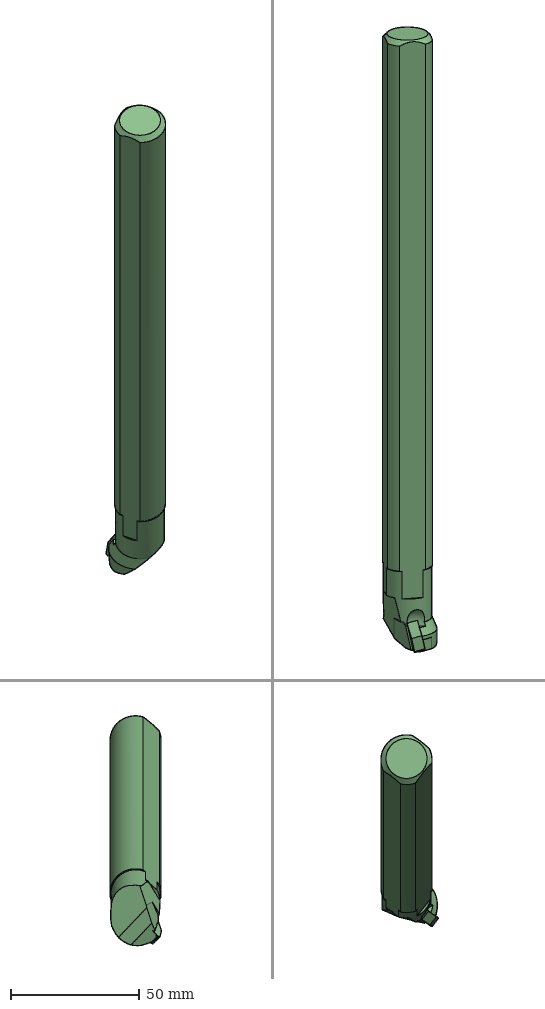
import cadquery as cq

length = 251.2
shank_radius = 10.0
neck_radius = 9.5
neck_top = 32.7
flat_bottom = 21.4
side_flat_offset = 9.0
front_flat_offset = 8.5
end_chamfer = 2.0

flare_top = 11.0
flare_bottom = 6.5
head_radius = 11.3
head_shift = -1.0
nose_slope_top = (9.5, 13.0)
nose_slope_bottom = (-1.3, 2.3)
nose_relief_end = (-6.5, 0.3)

flute_angle = 17.0
flute_tilt = 9.0
flute_depth_offset = 5.0

pocket_top = 11.8
pocket_wall_start = (-9.5, 0.8)
pocket_wall_end = (1.5, 5.8)
scoop_radius = 6.3
scoop_centre = (-13.8, -2.0, 12.3)
scoop_bottom = 9.5

heel_flat_angle = 209.5
heel_flat_width = 4.3
heel_flat_top = 5.0

insert_thickness = 4.3
insert_lean = 12.0
insert_outline = [
    (-12.8, 0.8), (-11.8, 0.0), (-6.5, 1.3), (-3.5, 4.5), (-5.0, 8.0), (-9.5, 11.8), (-12.5, 6.3),
]

margin = 50.2


def extrude_across(points, front_y, back_y):
    """Prism of an XZ outline between two Y positions."""
    plate = cq.Workplane("XZ", origin=(0, back_y, 0)).polyline(points).close()
    return plate.extrude(back_y - front_y)


def lean(body):
    """Tip a body about X to the lean of the insert."""
    return body.rotate((0, 0, 0), (1, 0, 0), -insert_lean)


def make_insert():
    return lean(extrude_across(insert_outline, -insert_thickness, 0))


def make_round_bar():
    shank = (
        cq.Workplane("XY", origin=(0, 0, neck_top)).circle(shank_radius)
        .extrude(length - neck_top).faces(">Z").chamfer(end_chamfer)
    )
    neck = cq.Workplane("XY", origin=(0, 0, flare_top)).circle(neck_radius).extrude(neck_top - flare_top)
    flare = (
        cq.Workplane("XY", origin=(head_shift, 0, flare_bottom)).circle(head_radius)
        .workplane(offset=flare_top - flare_bottom).center(-head_shift, 0).circle(neck_radius)
        .loft(ruled=True)
    )
    head = cq.Workplane("XY").center(head_shift, 0).circle(head_radius).extrude(flare_bottom)
    return shank.union(neck).union(flare).union(head)


def cut_flats(bar):
    flat_height = length - flat_bottom
    block = cq.Workplane("XY", origin=(0, 0, flat_bottom)).box(
        margin, margin, flat_height, centered=(False, True, False))
    for angle, offset in [(90, side_flat_offset), (-90, side_flat_offset), (180, front_flat_offset)]:
        bar = bar.cut(block.translate((offset, 0, 0)).rotate((0, 0, 0), (0, 0, 1), angle))
    return bar


def cut_nose(bar):
    below = [
        (margin, -margin), (margin, nose_slope_top[1]), nose_slope_top, nose_slope_bottom,
        nose_relief_end, (-margin, nose_relief_end[1]), (-margin, -margin),
    ]
    return bar.cut(extrude_across(below, -margin, margin))


def cut_flute(bar):
    block = cq.Workplane("XY").box(2 * margin, margin, 2 * margin, centered=(True, False, True))
    block = block.rotate((0, 0, 0), (1, 0, 0), -flute_tilt).translate((0, flute_depth_offset, 0))
    block = block.rotate((0, 0, 0), (0, 0, 1), flute_angle)
    below_flats = cq.Workplane("XY").box(
        2 * margin, 2 * margin, flat_bottom, centered=(True, True, False))
    return bar.cut(block.intersect(below_flats))


def cut_insert_pocket(bar, insert):
    plan = [
        (-margin, 0), (pocket_wall_start[0], 0), pocket_wall_start, pocket_wall_end,
        (pocket_wall_end[0], margin), (-margin, margin),
    ]
    chip_space = lean(
        cq.Workplane("XY", origin=(0, 0, -margin)).polyline(plan).close().extrude(2 * margin))
    below_top = cq.Workplane("XY", origin=(0, 0, pocket_top - margin)).box(
        4 * margin, 4 * margin, margin, centered=(True, True, False))
    chip_space = chip_space.intersect(below_top)
    ball = cq.Workplane("XY").sphere(scoop_radius).translate(scoop_centre)
    above_bottom = cq.Workplane("XY", origin=(0, 0, scoop_bottom)).box(
        margin, margin, margin, centered=(True, True, False))
    scoop = ball.intersect(above_bottom)
    return bar.cut(chip_space).cut(scoop).cut(insert)


def cut_heel_flat(bar):
    flat_distance = (head_radius**2 - (heel_flat_width / 2)**2) ** 0.5
    block = cq.Workplane("XY").box(
        margin, heel_flat_width, heel_flat_top, centered=(False, True, False))
    block = block.translate((flat_distance, 0, 0)).rotate((0, 0, 0), (0, 0, 1), heel_flat_angle)
    return bar.cut(block.translate((head_shift, 0, 0)))


insert = make_insert()
bar = make_round_bar()
bar = cut_flats(bar)
bar = cut_nose(bar)
bar = cut_flute(bar)
bar = cut_heel_flat(bar)
bar = cut_insert_pocket(bar, insert)

result = cq.Compound.makeCompound([*bar.solids().vals(), insert.val()])